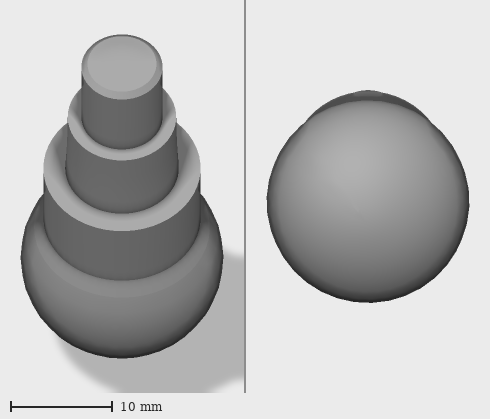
import cadquery as cq
import math


BALL_RADIUS = 10.0
CONE_HALF_ANGLE = math.radians(30)
COLLAR_RADIUS = 7.75
COLLAR_TOP = 14.75

NECK_BASE_RADIUS = 5.6
NECK_TOP_RADIUS = 5.35
NECK_HEIGHT = 8.45
NECK_HOLLOW = 0.06
STUD_RADIUS = 4.0
STUD_LENGTH = 8.75
CHAMFER_WIDTH = 0.6
CHAMFER_HEIGHT = 0.5

tangent_radius = BALL_RADIUS * math.cos(CONE_HALF_ANGLE)
tangent_z = BALL_RADIUS * math.sin(CONE_HALF_ANGLE)
collar_bottom = tangent_z + (tangent_radius - COLLAR_RADIUS) / math.tan(CONE_HALF_ANGLE)

neck_top = COLLAR_TOP + NECK_HEIGHT
stud_top = neck_top + STUD_LENGTH


def revolve_about_z(profile):
    """Turn a closed half profile, drawn as (radius, z), about the Z axis."""
    return profile.close().revolve(360, (0, 0, 0), (0, 1, 0))


def make_knob():
    profile = (
        cq.Workplane("XZ")
        .moveTo(0, -BALL_RADIUS)
        .threePointArc((BALL_RADIUS, 0), (tangent_radius, tangent_z))
        .lineTo(COLLAR_RADIUS, collar_bottom)
        .lineTo(COLLAR_RADIUS, COLLAR_TOP)
        .lineTo(0, COLLAR_TOP)
    )
    return revolve_about_z(profile)


def make_spindle():
    flare_middle = (
        (NECK_BASE_RADIUS + NECK_TOP_RADIUS) / 2 - NECK_HOLLOW,
        COLLAR_TOP + NECK_HEIGHT / 2,
    )
    profile = (
        cq.Workplane("XZ")
        .moveTo(0, COLLAR_TOP)
        .lineTo(NECK_BASE_RADIUS, COLLAR_TOP)
        .threePointArc(flare_middle, (NECK_TOP_RADIUS, neck_top))
        .lineTo(STUD_RADIUS, neck_top)
        .lineTo(STUD_RADIUS, stud_top - CHAMFER_HEIGHT)
        .lineTo(STUD_RADIUS - CHAMFER_WIDTH, stud_top)
        .lineTo(0, stud_top)
    )
    return revolve_about_z(profile)


knob = make_knob()
spindle = make_spindle()

result = cq.Compound.makeCompound([knob.val(), spindle.val()])